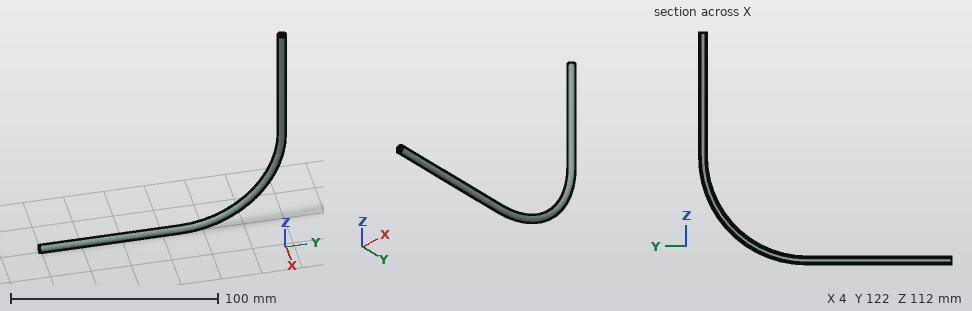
import cadquery as cq

length_y = 122.0
height_z = 112.0
outer_diameter = 4.0
bore_diameter = 2.0
bend_radius = 50.0

outer_radius = outer_diameter / 2
horizontal_leg = length_y - bend_radius - outer_radius
vertical_leg = height_z - bend_radius - outer_radius


def bent_rod(diameter):
    """Solid rod running along +Y, bending a quarter turn, then rising along +Z."""
    section = cq.Workplane("XZ").circle(diameter / 2)
    horizontal = section.extrude(-horizontal_leg)
    bend = (
        cq.Workplane("XZ", origin=(0, horizontal_leg, 0))
        .circle(diameter / 2)
        .revolve(90, (-1.2, bend_radius, 0), (1.2, bend_radius, 0))
    )
    vertical = (
        cq.Workplane("XY", origin=(0, horizontal_leg + bend_radius, bend_radius))
        .circle(diameter / 2)
        .extrude(vertical_leg)
    )
    return horizontal.union(bend).union(vertical)


result = bent_rod(outer_diameter).cut(bent_rod(bore_diameter))